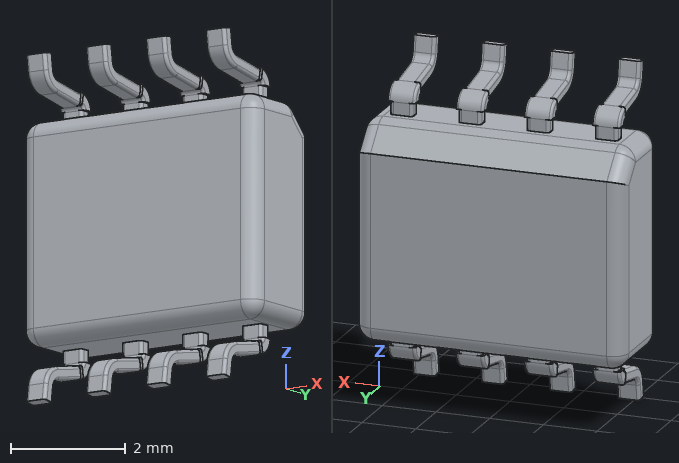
import cadquery as cq
import math


overall_depth = 2.12
overall_height = 6.23

body_width = 5.0
body_depth = 1.75
body_height = 4.0
body_fillet = 0.3
body_chamfer = 0.5

leads_per_side = 4
lead_pitch = 1.27
lead_width = 0.42
lead_thickness = 0.25
lead_fillet = 0.06
lead_embedment = 0.3
stem_length = 0.24
shoulder_width = 0.52
shoulder_fillet = 0.05
shoulder_inner_radius = 0.07
ankle_inner_radius = 0.17
arm_angle = math.radians(10)
foot_angle = math.radians(82)


def make_body():
    """Block with one chamfered back edge and every other edge rounded."""
    body = cq.Workplane("XY").box(body_width, body_depth, body_height)
    body = body.edges(">Y and >Z").chamfer(body_chamfer)
    chamfer_back_edge = cq.selectors.NearestToPointSelector(
        (0, body_depth / 2, body_height / 2 - body_chamfer)
    )
    whole_body = cq.selectors.BoxSelector(
        (-body_width, -body_depth, -body_height),
        (body_width, body_depth, body_height),
    )
    rounded_edges = whole_body - chamfer_back_edge
    return body.edges(rounded_edges).fillet(body_fillet)


def along(point, angle, distance):
    """Move a (forward, up) point along a direction rising at the given angle."""
    forward, up = point
    return (forward + distance * math.cos(angle), up + distance * math.sin(angle))


def to_space(point):
    """Forward is -Y and up is Z, in the plane X = 0."""
    forward, up = point
    return cq.Vector(0, -forward, up)


def sweep_strip(path_edges, start, width, fillet):
    """Sweep the rounded strip section along a path that starts straight up."""
    path = cq.Workplane(cq.Wire.assembleEdges(path_edges))
    section = cq.Sketch().rect(width, lead_thickness).vertices().fillet(fillet)
    return cq.Workplane("XY", origin=to_space(start).toTuple()).placeSketch(section).sweep(path)


def make_lead():
    """One upper lead at X = 0: stem, wide shoulder bend, arm, ankle bend and foot."""
    half_thickness = lead_thickness / 2
    shoulder_radius = shoulder_inner_radius + half_thickness
    ankle_radius = ankle_inner_radius + half_thickness
    quarter_turn = math.pi / 2

    root = (0, body_height / 2 - lead_embedment)
    stem_end = (0, body_height / 2 + stem_length)
    shoulder_center = (shoulder_radius, stem_end[1])
    shoulder_end = along(shoulder_center, arm_angle + quarter_turn, shoulder_radius)

    tip_forward = overall_depth - body_depth / 2 - half_thickness * math.sin(foot_angle)
    tip_up = overall_height / 2 - half_thickness * math.cos(foot_angle)
    tip = (tip_forward, tip_up)

    ankle_forward = ankle_radius * (math.sin(foot_angle) - math.sin(arm_angle))
    ankle_rise = ankle_radius * (math.cos(arm_angle) - math.cos(foot_angle))
    run = tip[0] - shoulder_end[0] - ankle_forward
    rise = tip[1] - shoulder_end[1] - ankle_rise
    offset_from_foot_line = run * math.sin(foot_angle) - rise * math.cos(foot_angle)
    arm_length = offset_from_foot_line / math.sin(foot_angle - arm_angle)

    arm_end = along(shoulder_end, arm_angle, arm_length)
    ankle_center = along(arm_end, arm_angle + quarter_turn, ankle_radius)
    ankle_end = along(ankle_center, foot_angle - quarter_turn, ankle_radius)
    shoulder_middle = along(shoulder_center, (arm_angle + quarter_turn + math.pi) / 2, shoulder_radius)
    ankle_middle = along(ankle_center, (arm_angle + foot_angle) / 2 - quarter_turn, ankle_radius)

    def line(start, end):
        return cq.Edge.makeLine(to_space(start), to_space(end))

    def arc(start, middle, end):
        return cq.Edge.makeThreePointArc(to_space(start), to_space(middle), to_space(end))

    shoulder_arc = arc(stem_end, shoulder_middle, shoulder_end)
    lead_path = [
        line(root, stem_end),
        shoulder_arc,
        line(shoulder_end, arm_end),
        arc(arm_end, ankle_middle, ankle_end),
        line(ankle_end, tip),
    ]
    lead = sweep_strip(lead_path, root, lead_width, lead_fillet)
    shoulder = sweep_strip([shoulder_arc], stem_end, shoulder_width, shoulder_fillet)
    return lead.union(shoulder)


def add_leads(body):
    """Place a row of leads on the upper end and its mirror image on the lower end."""
    upper_lead = make_lead()
    lower_lead = upper_lead.mirror("XY")
    for index in range(leads_per_side):
        x = (index - (leads_per_side - 1) / 2) * lead_pitch
        body = body.union(upper_lead.translate((x, 0, 0)))
        body = body.union(lower_lead.translate((x, 0, 0)))
    return body


result = add_leads(make_body())